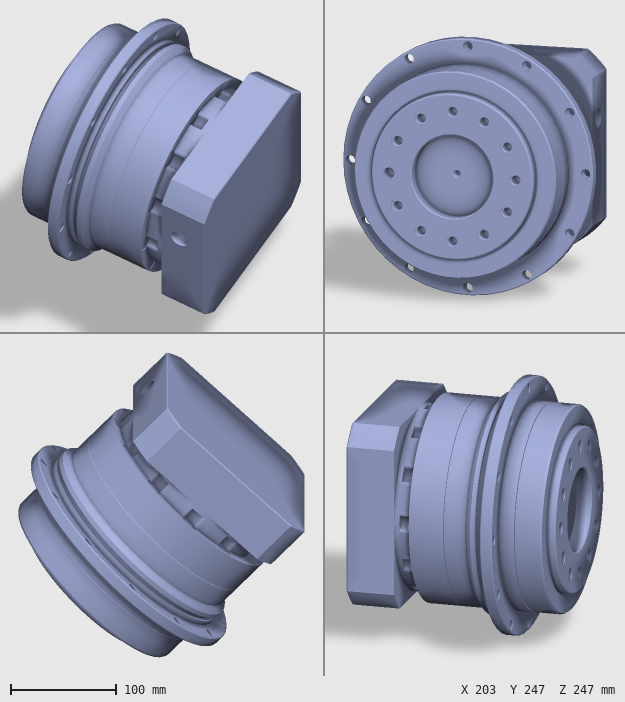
import cadquery as cq
import math

SEAL_FACE = 8.0
COVER_END = 35.0
MOUNT_FACE = 50.1
MOUNT_BACK = 62.0
GROOVE_START = 67.0
GROOVE_END = 72.0
PILOT_END = 76.5
HOUSING_END = 105.0
GEAR_RING_END = 138.8
SLOTTED_END = 151.2
SPACER_END = 156.0
PLATE_END = 203.0

MOUNT_RADIUS = 123.5
BODY_RADIUS = 100.0
COVER_RADIUS = 99.8
PILOT_RADIUS = 106.2
GROOVE_RADIUS = 102.0
OUTPUT_RADIUS = 80.0
SEAL_RADIUS = 95.0
SPACER_RADIUS = 90.0
PLATE_HALF_WIDTH = 90.5
PLATE_HALF_HEIGHT = SPACER_RADIUS
PLATE_CORNER_RADIUS = 115.0

OUTPUT_FILLET = 2.0
COVER_CHAMFER_LENGTH = 2.0
COVER_CHAMFER_DEPTH = 1.2
JOINT_CHAMFER = 0.7
MOUNT_CHAMFER = 1.0
PLATE_CHAMFER = 1.0
RECESS_CHAMFER = 1.0

RECESS_RADIUS = 40.0
RECESS_DEPTH = 15.0
CENTRE_HOLE_RADIUS = 1.7
CENTRE_HOLE_DEPTH = 6.2
COUNTERSINK_RADIUS = 3.7
COUNTERSINK_DEPTH = 3.5
FACE_HOLE_CIRCLE_RADIUS = 62.5
TAP_RADIUS = 4.2
TAP_CHAMFER = 0.7
FACE_HOLE_DEPTH = 14.8
COUNTERBORE_RADIUS = 6.5
COUNTERBORE_DEPTH = 1.0
DOWEL_RADIUS = 5.2
DRILL_TIP_HALF_ANGLE = math.radians(59)

LIP_RADIUS = 82.3
LIP_DEPTH = 2.0

BOLT_COUNT = 12
BOLT_STEP = 360 / BOLT_COUNT
MOUNT_HOLE_CIRCLE_RADIUS = 116.3
MOUNT_HOLE_RADIUS = 4.7
SLOT_RADIUS = 6.7
SLOT_FILLET = 2.7
SPOT_FACE_RADIUS = 9.5
SPOT_FACE_DEPTH = 1.0

HUB_RADIUS = 42.0
CLAMP_X = 175.4
ACCESS_HOLE_Z = 29.1
ACCESS_HOLE_RADIUS = 9.1
CLAMP_BORE_Y = -31.5
CLAMP_BORE_RADIUS = 5.0
CLAMP_BORE_BOTTOM = 5.0


def turned(points):
    """Revolve an (x, radius) outline about the X axis."""
    return cq.Workplane("XY").polyline(points).close().revolve(360, (0, 0, 0), (1, 0, 0))


def disc(start, end, radius, y=0, z=0):
    """Cylinder along X between two stations."""
    return cq.Workplane("YZ", origin=(start, y, z)).circle(radius).extrude(end - start)


def bolt_places(circle_radius):
    """(y, z) centres of the bolt pattern, the first one on +Y."""
    angles = [math.radians(i * BOLT_STEP) for i in range(BOLT_COUNT)]
    return [(circle_radius * math.cos(a), circle_radius * math.sin(a)) for a in angles]


def blind_hole(face_x, depth, radius, entry_radius=None, entry_depth=0):
    """Hole cutter on the X axis with a drill-point bottom and, if given, a conical entry."""
    bottom = face_x + depth
    tip = bottom + radius / math.tan(DRILL_TIP_HALF_ANGLE)
    outline = [(face_x, 0)]
    if entry_radius is not None:
        outline.append((face_x, entry_radius))
    outline += [(face_x + entry_depth, radius), (bottom, radius), (tip, 0)]
    return turned(outline)


def counterbored_hole(radius, entry_radius=None, entry_depth=0):
    """Blind hole cutter below a shallow counterbore in the output face."""
    counterbore = disc(0, COUNTERBORE_DEPTH, COUNTERBORE_RADIUS)
    hole = blind_hole(COUNTERBORE_DEPTH, FACE_HOLE_DEPTH, radius, entry_radius, entry_depth)
    return counterbore.union(hole)


def make_output_flange():
    flange = disc(0, COVER_END, OUTPUT_RADIUS).faces("<X").edges().fillet(OUTPUT_FILLET)
    recess = turned([
        (0, 0),
        (0, RECESS_RADIUS + RECESS_CHAMFER),
        (RECESS_CHAMFER, RECESS_RADIUS),
        (RECESS_DEPTH, RECESS_RADIUS),
        (RECESS_DEPTH, 0),
    ])
    centre_hole = blind_hole(
        RECESS_DEPTH, CENTRE_HOLE_DEPTH, CENTRE_HOLE_RADIUS, COUNTERSINK_RADIUS, COUNTERSINK_DEPTH
    )
    flange = flange.cut(recess).cut(centre_hole)

    tapped_hole = counterbored_hole(TAP_RADIUS, TAP_RADIUS + TAP_CHAMFER, TAP_CHAMFER)
    dowel_hole = counterbored_hole(DOWEL_RADIUS)
    dowel_place, *tapped_places = bolt_places(FACE_HOLE_CIRCLE_RADIUS)
    flange = flange.cut(dowel_hole.translate((0, *dowel_place)))
    for y, z in tapped_places:
        flange = flange.cut(tapped_hole.translate((0, y, z)))
    return flange


def make_shaft_seal():
    return turned([
        (SEAL_FACE, LIP_RADIUS),
        (SEAL_FACE, SEAL_RADIUS),
        (COVER_END, SEAL_RADIUS),
        (COVER_END, OUTPUT_RADIUS),
        (SEAL_FACE + LIP_DEPTH, OUTPUT_RADIUS),
        (SEAL_FACE + LIP_DEPTH, LIP_RADIUS),
    ])


def make_front_cover():
    return turned([
        (SEAL_FACE, SEAL_RADIUS),
        (SEAL_FACE, COVER_RADIUS - COVER_CHAMFER_DEPTH),
        (SEAL_FACE + COVER_CHAMFER_LENGTH, COVER_RADIUS),
        (COVER_END - JOINT_CHAMFER, COVER_RADIUS),
        (COVER_END, COVER_RADIUS - JOINT_CHAMFER),
        (COVER_END, SEAL_RADIUS),
    ])


def make_housing():
    cone_end = PILOT_END + PILOT_RADIUS - BODY_RADIUS
    housing = turned([
        (COVER_END, 0),
        (COVER_END, BODY_RADIUS),
        (MOUNT_FACE, BODY_RADIUS),
        (MOUNT_FACE, MOUNT_RADIUS - MOUNT_CHAMFER),
        (MOUNT_FACE + MOUNT_CHAMFER, MOUNT_RADIUS),
        (MOUNT_BACK - MOUNT_CHAMFER, MOUNT_RADIUS),
        (MOUNT_BACK, MOUNT_RADIUS - MOUNT_CHAMFER),
        (MOUNT_BACK, PILOT_RADIUS),
        (GROOVE_START, PILOT_RADIUS),
        (GROOVE_START, GROOVE_RADIUS),
        (GROOVE_END, GROOVE_RADIUS),
        (GROOVE_END, PILOT_RADIUS),
        (PILOT_END, PILOT_RADIUS),
        (cone_end, BODY_RADIUS),
        (HOUSING_END - JOINT_CHAMFER, BODY_RADIUS),
        (HOUSING_END, BODY_RADIUS - JOINT_CHAMFER),
        (HOUSING_END, 0),
    ])
    for y, z in bolt_places(MOUNT_HOLE_CIRCLE_RADIUS):
        housing = housing.cut(disc(MOUNT_FACE, MOUNT_BACK, MOUNT_HOLE_RADIUS, y, z))
    return housing


def make_gear_ring():
    ring = turned([
        (HOUSING_END, 0),
        (HOUSING_END, BODY_RADIUS),
        (GEAR_RING_END, BODY_RADIUS),
        (GEAR_RING_END, 0),
    ])
    for y, z in bolt_places(SPACER_RADIUS):
        ring = ring.cut(disc(GEAR_RING_END - SPOT_FACE_DEPTH, GEAR_RING_END, SPOT_FACE_RADIUS, y, z))
    return ring


def make_slotted_flange():
    flange = disc(GEAR_RING_END, SLOTTED_END, SPACER_RADIUS)
    for y, z in bolt_places(SPACER_RADIUS):
        flange = flange.cut(disc(GEAR_RING_END, SLOTTED_END, SLOT_RADIUS, y, z))
    return flange.edges("|X").fillet(SLOT_FILLET)


def make_spacer():
    return disc(SLOTTED_END, SPACER_END, SPACER_RADIUS)


def make_motor_plate():
    thickness = PLATE_END - SPACER_END
    square = (
        cq.Workplane("YZ", origin=(SPACER_END, 0, 0))
        .rect(2 * PLATE_HALF_WIDTH, 2 * PLATE_HALF_HEIGHT)
        .extrude(thickness)
    )
    plate = square.intersect(disc(SPACER_END, PLATE_END, PLATE_CORNER_RADIUS))
    plate = plate.faces(">X").edges().chamfer(PLATE_CHAMFER)
    access_hole = (
        cq.Workplane("XZ", origin=(CLAMP_X, 0, ACCESS_HOLE_Z))
        .circle(ACCESS_HOLE_RADIUS)
        .extrude(PLATE_HALF_WIDTH)
    )
    return plate.cut(access_hole).cut(disc(SPACER_END, PLATE_END, HUB_RADIUS))


def make_clamp_hub():
    clamp_bore = (
        cq.Workplane("XY", origin=(CLAMP_X, CLAMP_BORE_Y, CLAMP_BORE_BOTTOM))
        .circle(CLAMP_BORE_RADIUS)
        .extrude(HUB_RADIUS)
    )
    return disc(SPACER_END, PLATE_END, HUB_RADIUS).cut(clamp_bore)


output_flange = make_output_flange()
shaft_seal = make_shaft_seal()
front_cover = make_front_cover()
housing = make_housing()
gear_ring = make_gear_ring()
slotted_flange = make_slotted_flange()
spacer = make_spacer()
motor_plate = make_motor_plate()
clamp_hub = make_clamp_hub()

result = cq.Compound.makeCompound([
    output_flange.val(),
    shaft_seal.val(),
    front_cover.val(),
    housing.val(),
    gear_ring.val(),
    slotted_flange.val(),
    spacer.val(),
    motor_plate.val(),
    clamp_hub.val(),
])